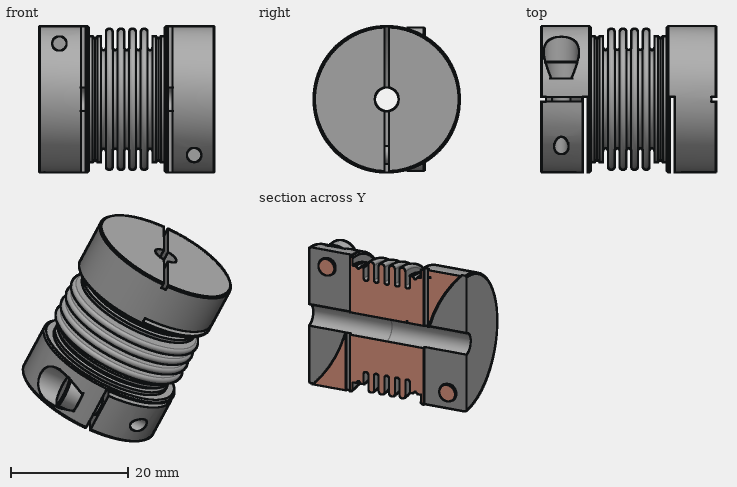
import cadquery as cq
import math

LENGTH = 30.0
HUB_DIAMETER = 25.0
HUB_RADIUS = HUB_DIAMETER / 2
BORE_RADIUS = 2.0

HUB_INNER_X = 6.45
OUTER_CHAMFER = 0.25
INNER_CHAMFER = 0.33

COLLAR_RADIUS = 10.77
COLLAR_GROOVE_X = 5.4
COLLAR_GROOVE_DEPTH = 0.45

CONVOLUTIONS = 4
PITCH = 1.98
CREST_RADIUS = 12.05
ROOT_RADIUS = 8.4
CREST_ROUND = 0.6
ROOT_ROUND = PITCH / 2 - CREST_ROUND

SLIT_WIDTH = 0.8
CROSS_SLOT_INNER_X = 7.02
CROSS_SLOT_OUTER_X = CROSS_SLOT_INNER_X + SLIT_WIDTH
RIM_SLIT_DEPTH = 0.87
SAW_RADIUS = 25.0
SAW_Z = 5.0

SCREW_X = -11.5
SCREW_Z = 9.5
SCREW_RADIUS = 1.55
TAP_HOLE_RADIUS = 1.23
HEAD_RADIUS = 2.75
HEAD_CHAMFER = 0.25
HEAD_SEAT_Y = 3.55
HEAD_LENGTH = 2.95
POCKET_RADIUS = 3.0

half_length = LENGTH / 2
slit_half = SLIT_WIDTH / 2
bellows_half = CONVOLUTIONS * PITCH / 2 + ROOT_ROUND


def box_between(x_range, y_range, z_range):
    """Axis-aligned box given by its lower and upper limits."""
    corner = (x_range[0], y_range[0], z_range[0])
    size = [upper - lower for lower, upper in (x_range, y_range, z_range)]
    return cq.Workplane("XY").box(*size, centered=False).translate(corner)


def screw_cylinder(radius, y_start, y_end):
    """Cylinder on the clamp screw axis, running from y_start up to y_end."""
    plane = cq.Plane(origin=(SCREW_X, y_start, SCREW_Z), xDir=(1, 0, 0), normal=(0, 1, 0))
    return cq.Workplane(plane).circle(radius).extrude(y_end - y_start)


def turned_hub():
    """Left hub and its collar, as a solid of revolution about X."""
    groove_floor = COLLAR_RADIUS - COLLAR_GROOVE_DEPTH
    profile = [
        (-half_length, 0),
        (-half_length, HUB_RADIUS - OUTER_CHAMFER),
        (-half_length + OUTER_CHAMFER, HUB_RADIUS),
        (-HUB_INNER_X - INNER_CHAMFER, HUB_RADIUS),
        (-HUB_INNER_X, HUB_RADIUS - INNER_CHAMFER),
        (-HUB_INNER_X, COLLAR_RADIUS),
        (-COLLAR_GROOVE_X - COLLAR_GROOVE_DEPTH, COLLAR_RADIUS),
        (-COLLAR_GROOVE_X, groove_floor),
        (-COLLAR_GROOVE_X + COLLAR_GROOVE_DEPTH, COLLAR_RADIUS),
        (-bellows_half, COLLAR_RADIUS),
        (-bellows_half, 0),
    ]
    return cq.Workplane("XY").polyline(profile).close().revolve(360, (0, 0, 0), (1, 0, 0))


def lower_slit():
    """Lower slit: a saw cut that deepens towards the axis and stays clear of the cross slot."""
    saw_x = -half_length + RIM_SLIT_DEPTH - math.sqrt(SAW_RADIUS**2 - (HUB_RADIUS + SAW_Z) ** 2)
    plane = cq.Plane(origin=(saw_x, -slit_half, SAW_Z), xDir=(1, 0, 0), normal=(0, 1, 0))
    saw = cq.Workplane(plane).circle(SAW_RADIUS).extrude(SLIT_WIDTH)
    lower_half = box_between(
        (-half_length, -CROSS_SLOT_OUTER_X), (-slit_half, slit_half), (-HUB_RADIUS, 0)
    )
    return saw.intersect(lower_half)


def clamp_hub():
    """Left hub with its slits, cross slot and clamp screw."""
    hub = turned_hub()
    reach = HUB_RADIUS
    slit_y = (-slit_half, slit_half)
    slit = box_between((-half_length, -CROSS_SLOT_INNER_X), slit_y, (0, reach))
    cross_slot = box_between(
        (-CROSS_SLOT_OUTER_X, -CROSS_SLOT_INNER_X), (-reach, slit_half), (-reach, reach)
    )
    hub = hub.cut(slit).cut(lower_slit()).cut(cross_slot)

    hub = hub.cut(screw_cylinder(TAP_HOLE_RADIUS, -reach, -slit_half))
    hub = hub.union(screw_cylinder(SCREW_RADIUS, -slit_half, slit_half))

    hub = hub.cut(screw_cylinder(POCKET_RADIUS, HEAD_SEAT_Y, reach))
    head = screw_cylinder(HEAD_RADIUS, HEAD_SEAT_Y, HEAD_SEAT_Y + HEAD_LENGTH)
    return hub.union(head.faces(">Y").chamfer(HEAD_CHAMFER))


def bellows():
    """Bellows of round crests and round roots, solid down to the axis."""
    crest_center = CREST_RADIUS - CREST_ROUND
    root_center = ROOT_RADIUS + ROOT_ROUND
    outline = cq.Workplane("XY").moveTo(-bellows_half, 0).lineTo(-bellows_half, root_center)
    for index in range(CONVOLUTIONS):
        crest_x = (index - (CONVOLUTIONS - 1) / 2) * PITCH
        root_x = crest_x - PITCH / 2
        outline = (
            outline.threePointArc((root_x, ROOT_RADIUS), (root_x + ROOT_ROUND, root_center))
            .lineTo(crest_x - CREST_ROUND, crest_center)
            .threePointArc((crest_x, CREST_RADIUS), (crest_x + CREST_ROUND, crest_center))
            .lineTo(crest_x + CREST_ROUND, root_center)
        )
    outline = outline.threePointArc(
        (bellows_half - ROOT_ROUND, ROOT_RADIUS), (bellows_half, root_center)
    ).lineTo(bellows_half, 0)
    return outline.close().revolve(360, (0, 0, 0), (1, 0, 0))


left_hub = clamp_hub()
right_hub = left_hub.rotate((0, 0, 0), (0, 1, 0), 180)
bore = cq.Workplane("YZ").circle(BORE_RADIUS).extrude(half_length, both=True)

result = left_hub.union(bellows()).union(right_hub).cut(bore)